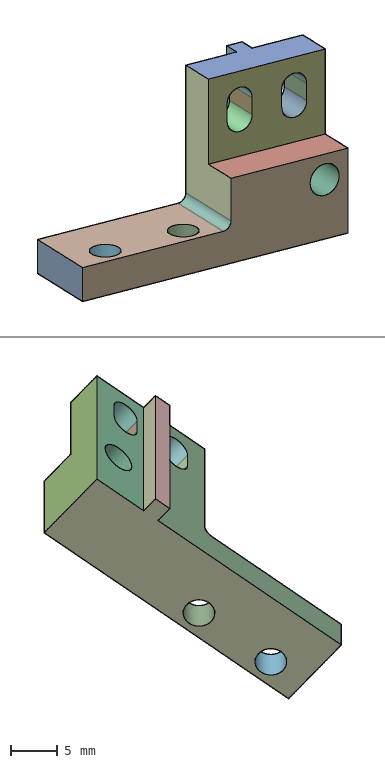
import cadquery as cq

body_width = 9.0
length = 34.0
height = 20.0

foot_thickness = 4.0
block_depth = 15.0
corner_radius = 1.0
block_front = length - block_depth

wall_thickness = body_width / 2
step_height = height / 2

rib_projection = 2.0
rib_width = 2.0
rib_center_y = length - block_depth / 2

foot_hole_diameter = 3.4
foot_hole_edge_distance = 2.5
foot_hole_x = body_width - foot_hole_edge_distance
foot_hole_spacing = 10.0
first_foot_hole_y = 4.5
foot_hole_positions = [
    (foot_hole_x, first_foot_hole_y),
    (foot_hole_x, first_foot_hole_y + foot_hole_spacing),
]

slot_width = 3.2
slot_length = 5.2
slot_angle = 90
slot_z = 15.5
slot_offset = 3.5
slot_positions = [
    (rib_center_y - slot_offset, slot_z),
    (rib_center_y + slot_offset, slot_z),
]
side_hole_diameter = 3.7
side_hole_back_distance = 3.0
side_hole_y = length - side_hole_back_distance
side_hole_z = 7.0


def make_body():
    """L-shaped bracket with a filleted inner corner and a stepped block."""
    bracket = (
        cq.Workplane("YZ")
        .lineTo(length, 0)
        .lineTo(length, height)
        .lineTo(block_front, height)
        .lineTo(block_front, foot_thickness + corner_radius)
        .radiusArc((block_front - corner_radius, foot_thickness), corner_radius)
        .lineTo(0, foot_thickness)
        .close()
        .extrude(body_width)
    )
    step_width = body_width - wall_thickness
    step = cq.Workplane("XY").box(step_width, block_depth, height - step_height, centered=False)
    return bracket.cut(step.translate((wall_thickness, block_front, step_height)))


def make_rib():
    """Full-height rib standing out from the -X face."""
    rib = cq.Workplane("XY").box(rib_projection, rib_width, height, centered=False)
    return rib.translate((-rib_projection, rib_center_y - rib_width / 2, 0))


def make_foot_holes():
    """Cutters for the two vertical holes through the foot."""
    return (
        cq.Workplane("XY")
        .pushPoints(foot_hole_positions)
        .circle(foot_hole_diameter / 2)
        .extrude(foot_thickness)
    )


def make_slots():
    """Cutters for the upright slots on either side of the rib."""
    return (
        cq.Workplane("YZ")
        .pushPoints(slot_positions)
        .slot2D(slot_length, slot_width, slot_angle)
        .extrude(body_width)
    )


def make_side_hole():
    """Cutter for the round hole low at the back of the block."""
    return (
        cq.Workplane("YZ")
        .center(side_hole_y, side_hole_z)
        .circle(side_hole_diameter / 2)
        .extrude(body_width)
    )


result = (
    make_body()
    .union(make_rib())
    .cut(make_foot_holes())
    .cut(make_slots())
    .cut(make_side_hole())
)